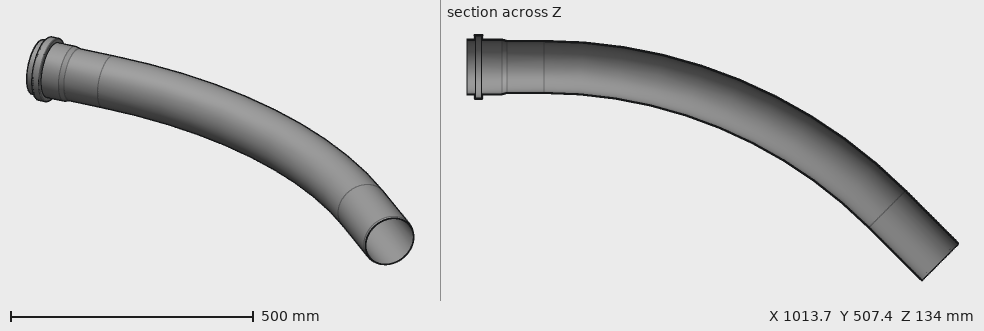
import cadquery as cq
import math

WALL = 2.7
PIPE_DIAMETER = 110.0
PIPE_RADIUS = PIPE_DIAMETER / 2
BORE_RADIUS = PIPE_RADIUS - WALL

BEND_RADIUS = 1000.0
BEND_ANGLE = 45.0

SOCKET_BORE_RADIUS = 110.4 / 2
SOCKET_RADIUS = SOCKET_BORE_RADIUS + WALL
RING_RADIUS = 134.0 / 2
GROOVE_RADIUS = RING_RADIUS - WALL
RING_START = 15.0
RING_END = 33.0
RING_FILLET = 2.0
TAPER_START = 72.0
TAPER_ANGLE = 15.0
TAPER_END = TAPER_START + (SOCKET_RADIUS - PIPE_RADIUS) / math.tan(math.radians(TAPER_ANGLE))
INLET_LENGTH = 159.0

SPIGOT_LENGTH = 155.0
CHAMFER_LENGTH = 5.0
CHAMFER_ANGLE = 15.0
CHAMFER_DEPTH = CHAMFER_LENGTH * math.tan(math.radians(CHAMFER_ANGLE))


def revolve_about_x(points):
    """Revolve a closed (x, radius) profile a full turn about the X axis."""
    return cq.Workplane("XY").polyline(points).close().revolve(360, (0, 0, 0), (1, 0, 0))


def make_inlet():
    """Straight inlet with the socket, its raised ring and the seal groove inside the ring."""
    outside = [
        (0, SOCKET_RADIUS),
        (RING_START, SOCKET_RADIUS),
        (RING_START, RING_RADIUS),
        (RING_END, RING_RADIUS),
        (RING_END, SOCKET_RADIUS),
        (TAPER_START, SOCKET_RADIUS),
        (TAPER_END, PIPE_RADIUS),
        (INLET_LENGTH, PIPE_RADIUS),
    ]
    groove_start = RING_START + WALL
    groove_end = RING_END - WALL
    inside = [
        (INLET_LENGTH, BORE_RADIUS),
        (TAPER_END, BORE_RADIUS),
        (TAPER_START, SOCKET_BORE_RADIUS),
        (groove_end, SOCKET_BORE_RADIUS),
        (groove_end, GROOVE_RADIUS),
        (groove_start, GROOVE_RADIUS),
        (groove_start, SOCKET_BORE_RADIUS),
        (0, SOCKET_BORE_RADIUS),
    ]
    inlet = revolve_about_x(outside + inside)
    ring_rims = cq.selectors.RadiusNthSelector(-1)
    return inlet.edges(ring_rims).fillet(RING_FILLET)


def make_bend():
    """Curved pipe: the annular section swung about the bend centre."""
    section = cq.Workplane("YZ", origin=(INLET_LENGTH, 0, 0)).circle(PIPE_RADIUS).circle(BORE_RADIUS)
    return section.revolve(BEND_ANGLE, (-BEND_RADIUS, 0, 0), (-BEND_RADIUS, -1, 0))


def make_spigot():
    """Straight outlet, modelled along X and then swung to the end of the bend."""
    end = INLET_LENGTH + SPIGOT_LENGTH
    profile = [
        (INLET_LENGTH, BORE_RADIUS),
        (INLET_LENGTH, PIPE_RADIUS),
        (end - CHAMFER_LENGTH, PIPE_RADIUS),
        (end, PIPE_RADIUS - CHAMFER_DEPTH),
        (end, BORE_RADIUS),
    ]
    bend_centre = (INLET_LENGTH, -BEND_RADIUS, 0)
    axis_end = (INLET_LENGTH, -BEND_RADIUS, 1)
    return revolve_about_x(profile).rotate(bend_centre, axis_end, -BEND_ANGLE)


result = make_inlet().union(make_bend()).union(make_spigot())